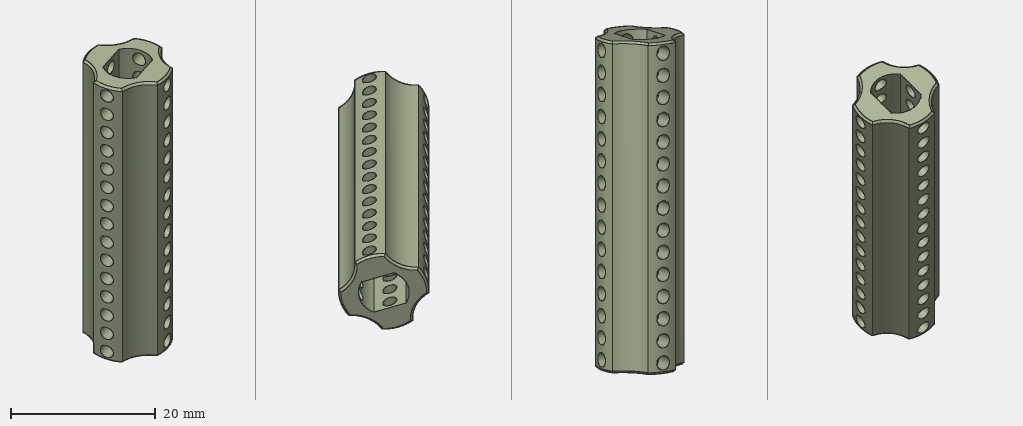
import cadquery as cq
import math

height = 46.9
body_radius = 6.26
lobe_half_width = 2.25
flute_floor_radius = 5.0
edge_chamfer = 0.35

pocket_diameter = 7.05
pocket_width = 5.25
floor_bottom = 8.6
floor_top = 10.95
bore_diameter = 3.0

hole_diameter = 2.0
holes_per_row = 15
hole_pitch = height / holes_per_row

plug_diameter = 6.0


def fluted_body():
    """Round bar with a concave flute on each diagonal and chamfered ends."""
    lobe_corner = math.sqrt(body_radius**2 - lobe_half_width**2)
    flute_mid = flute_floor_radius / math.sqrt(2)
    outline = cq.Workplane("XY").moveTo(lobe_corner, -lobe_half_width)
    for quarter in range(4):
        turn = math.radians(90 * quarter)

        def turned(x, y):
            return (
                x * math.cos(turn) - y * math.sin(turn),
                x * math.sin(turn) + y * math.cos(turn),
            )

        outline = outline.threePointArc(turned(body_radius, 0), turned(lobe_corner, lobe_half_width))
        outline = outline.threePointArc(turned(flute_mid, flute_mid), turned(lobe_half_width, lobe_corner))
    body = outline.close().extrude(height)
    return body.faces("<Z or >Z").chamfer(edge_chamfer)


def double_d_pocket(bottom, top):
    """Cylinder with two flats facing along X."""
    depth = top - bottom
    cylinder = cq.Workplane("XY").workplane(offset=bottom).circle(pocket_diameter / 2).extrude(depth)
    slab = cq.Workplane("XY").workplane(offset=bottom).rect(pocket_width, pocket_diameter).extrude(depth)
    return cylinder.intersect(slab)


def cross_holes(plane):
    """Column of holes drilled right through the body along the normal of plane."""
    centres = [(0, hole_pitch * (i + 0.5)) for i in range(holes_per_row)]
    return cq.Workplane(plane).pushPoints(centres).circle(hole_diameter / 2).extrude(body_radius, both=True)


def floor_plug():
    """Solid disc at floor level, left undrilled by the side holes."""
    return (
        cq.Workplane("XY")
        .workplane(offset=floor_bottom)
        .circle(plug_diameter / 2)
        .extrude(floor_top - floor_bottom)
    )


result = fluted_body()
result = result.cut(double_d_pocket(0, floor_bottom))
result = result.cut(double_d_pocket(floor_top, height))
result = result.cut(cross_holes("YZ"))
result = result.cut(cross_holes("XZ"))
result = result.union(floor_plug())

bore = cq.Workplane("XY").circle(bore_diameter / 2).extrude(height)
result = result.cut(bore)